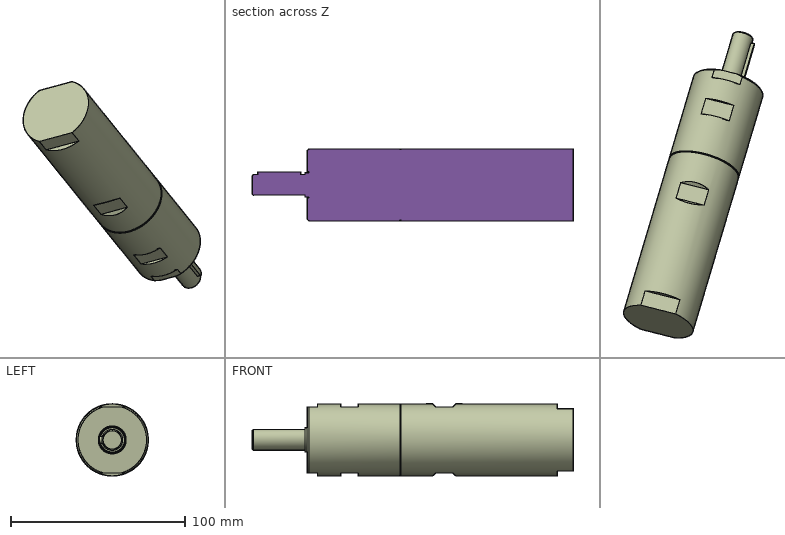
import cadquery as cq

TOTAL_LENGTH = 184.5
COLLAR_START = 30.3
BODY_START = 31.5
JOINT_START = 84.9
JOINT_WIDTH = 0.5

SHAFT_DIAMETER = 12.0
SHAFT_CHAMFER = 0.7
COLLAR_DIAMETER = 14.0
RECESS_DIAMETER = 15.0
RECESS_MOUTH_DIAMETER = 16.0
RECESS_DEPTH = 1.0
BODY_DIAMETER = 41.5
BODY_CHAMFER = 1.1
JOINT_DEPTH = 0.4

FLAT_SPACING = 38.0
FRONT_FLAT_END = 37.5
SECOND_FLAT_START = 51.0
SECOND_FLAT_END = 60.9
MIDDLE_FLAT_START = 105.3
MIDDLE_FLAT_END = 115.3
REAR_FLAT_SPACING = 36.0
REAR_FLAT_START = 175.3

KEY_START = 3.1
KEY_END = 28.0
KEY_WIDTH = 4.0
KEY_TOP = 7.5
KEY_BOTTOM = 3.7


def cylinder(start, end, diameter):
    """Solid cylinder on the X axis between two stations."""
    return cq.Workplane("YZ", origin=(start, 0, 0)).circle(diameter / 2).extrude(end - start)


def make_body():
    body = cylinder(BODY_START, TOTAL_LENGTH, BODY_DIAMETER)
    body = body.faces("<X").chamfer(BODY_CHAMFER)
    recess = cylinder(BODY_START, BODY_START + RECESS_DEPTH, RECESS_DIAMETER)
    mouth_chamfer = (RECESS_MOUTH_DIAMETER - RECESS_DIAMETER) / 2
    joint_end = JOINT_START + JOINT_WIDTH
    joint = cylinder(JOINT_START, joint_end, BODY_DIAMETER).cut(
        cylinder(JOINT_START, joint_end, BODY_DIAMETER - 2 * JOINT_DEPTH)
    )
    body = body.cut(recess).cut(joint)
    recess_rim = body.faces("<X").edges(cq.selectors.RadiusNthSelector(0))
    return recess_rim.chamfer(mouth_chamfer)


def make_shaft():
    shaft = cylinder(0, BODY_START + RECESS_DEPTH, SHAFT_DIAMETER)
    shaft = shaft.faces("<X").chamfer(SHAFT_CHAMFER)
    collar = cylinder(COLLAR_START, BODY_START + RECESS_DEPTH, COLLAR_DIAMETER)
    return shaft.union(collar)


def make_key():
    length = KEY_END - KEY_START
    return (
        cq.Workplane("XZ", origin=((KEY_START + KEY_END) / 2, KEY_TOP, 0))
        .slot2D(length, KEY_WIDTH)
        .extrude(KEY_TOP - KEY_BOTTOM)
    )


def flat_cutters(start, end, spacing, sloped=False):
    """Top and bottom cutters for a pair of flats, with optional 45-degree end walls."""
    floor = spacing / 2
    rim = BODY_DIAMETER / 2
    flare = rim - floor if sloped else 0
    upper = (
        cq.Workplane("XZ")
        .polyline([(start, floor), (end, floor), (end + flare, rim), (start - flare, rim)])
        .close()
        .extrude(rim, both=True)
    )
    return upper.union(upper.mirror("XY"))


result = make_body().union(make_shaft()).union(make_key())
result = result.cut(flat_cutters(BODY_START, FRONT_FLAT_END, FLAT_SPACING))
result = result.cut(flat_cutters(SECOND_FLAT_START, SECOND_FLAT_END, FLAT_SPACING))
result = result.cut(flat_cutters(MIDDLE_FLAT_START, MIDDLE_FLAT_END, FLAT_SPACING, sloped=True))
result = result.cut(flat_cutters(REAR_FLAT_START, TOTAL_LENGTH, REAR_FLAT_SPACING))